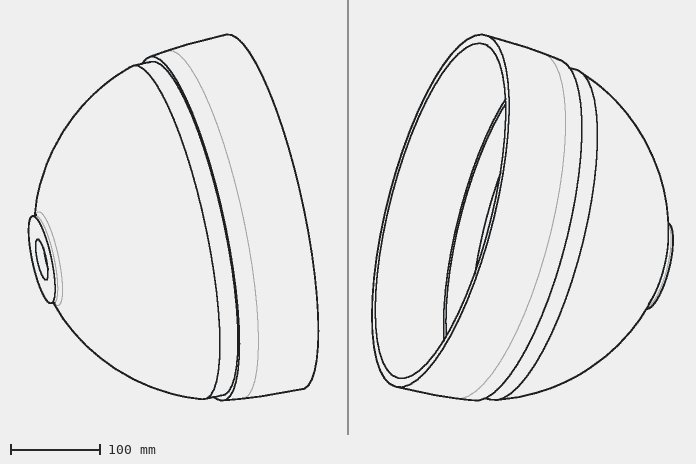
import cadquery as cq
import math


rim_radius = 202.5
band_radius = 190.5
collar_root_radius = 53.5
collar_radius = 50.0
hole_radius = 23.0

skirt_seam_depth = 69.3
lip_depth = 90.5
band_end_depth = 111.5
collar_root_depth = 252.7
collar_fillet_end_depth = 257.0
total_depth = 260.0

wall = 10.0
skirt_arc_radius = 640.0
dome_arc_radius = 218.5


def at(radius, depth):
    """Profile point at a radius, the given depth forward of the rim plane."""
    return radius, -depth


def skirt_point(depth, inset=0.0):
    """Point on the skirt meridian, moved inward by the inset."""
    arc_radius = skirt_arc_radius - inset
    drop = arc_radius - math.sqrt(arc_radius**2 - depth**2)
    return at(rim_radius - inset - drop, depth)


chord_radial = band_radius - collar_root_radius
chord_axial = collar_root_depth - band_end_depth
chord = math.hypot(chord_radial, chord_axial)
centre_offset = math.sqrt(dome_arc_radius**2 - (chord / 2) ** 2)
dome_centre_radius = (band_radius + collar_root_radius) / 2 - centre_offset * chord_axial / chord
dome_centre_depth = (band_end_depth + collar_root_depth) / 2 - centre_offset * chord_radial / chord


def dome_point(radius, inset=0.0):
    """Point on the dome meridian at a radius, moved inward by the inset."""
    radial = radius - dome_centre_radius
    axial = math.sqrt((dome_arc_radius - inset) ** 2 - radial**2)
    return at(radius, dome_centre_depth + axial)


flare_radial = collar_root_radius - collar_radius
flare_axial = collar_fillet_end_depth - collar_root_depth
flare_bulge = 1 - math.sqrt(0.5)
flare_middle = at(
    collar_radius + flare_bulge * flare_radial,
    collar_root_depth + flare_bulge * flare_axial,
)

inner_band_radius = band_radius - wall
inner_step_depth = lip_depth - wall
inner_dome_middle_radius = (inner_band_radius + hole_radius) / 2

profile = (
    cq.Workplane("XY")
    .moveTo(*at(rim_radius, 0))
    .threePointArc(skirt_point(skirt_seam_depth / 2), skirt_point(skirt_seam_depth))
    .threePointArc(skirt_point((skirt_seam_depth + lip_depth) / 2), skirt_point(lip_depth))
    .lineTo(*at(band_radius, lip_depth))
    .lineTo(*at(band_radius, band_end_depth))
    .threePointArc(
        dome_point((band_radius + collar_root_radius) / 2),
        at(collar_root_radius, collar_root_depth),
    )
    .threePointArc(flare_middle, at(collar_radius, collar_fillet_end_depth))
    .lineTo(*at(collar_radius, total_depth))
    .lineTo(*at(hole_radius, total_depth))
    .lineTo(*dome_point(hole_radius, wall))
    .threePointArc(dome_point(inner_dome_middle_radius, wall), dome_point(inner_band_radius, wall))
    .lineTo(*at(inner_band_radius, inner_step_depth))
    .lineTo(*skirt_point(inner_step_depth, wall))
    .threePointArc(skirt_point(inner_step_depth / 2, wall), at(rim_radius - wall, 0))
    .close()
)

result = profile.revolve(360, (0, 0, 0), (0, 1, 0))